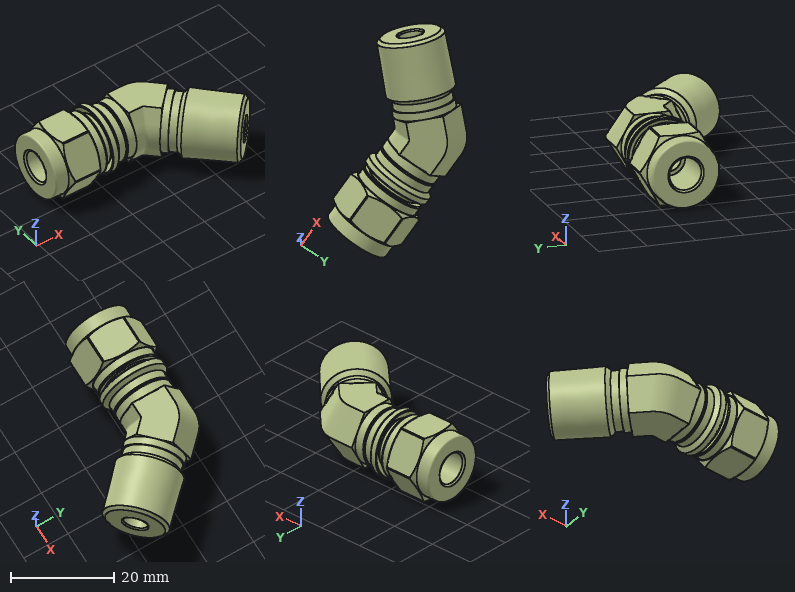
import cadquery as cq
import math

BEND_ANGLE = 45.0
BEND_X = 24.8

CAP_END = 3.05
HEX_END = 10.5
COLLAR_END = 12.5
FLANGE_START = 13.55
NECK_END = 14.1
FLANGE_END = 14.85
FLANGE_CONE_END = 15.7
GROOVE_START = 17.4
GROOVE_END = 17.8
BODY_START = 19.82

CAP_DIAMETER = 13.9
CAP_FILLET = 0.4
COLLAR_DIAMETER = 13.6
COLLAR_CHAMFER = 0.3
NECK_DIAMETER = 11.1
FLANGE_DIAMETER = 14.6
DISH_DIAMETER = 13.9
DISH_ROOT_DIAMETER = 10.1
DISH_DEPTH = 1.3
BARREL_DIAMETER = 12.6
GROOVE_DIAMETER = 12.25

NUT_FLATS = 14.27
NUT_TRIM_DIAMETER = 16.35
NUT_CHAMFER_ANGLE = 30.0

BODY_FLATS = 12.65
OUTER_BEND_FILLET = 7.35
INNER_BEND_FILLET = 0.65

BODY_END = 5.25
SHOULDER_END = BODY_END + 1.6
RELIEF_END = BODY_END + 3.25
THREAD_START = BODY_END + 4.25
THREAD_END = BODY_END + 15.2
ARM_END = BODY_END + 15.8

RELIEF_DIAMETER = 12.0
THREAD_START_DIAMETER = 13.9
THREAD_END_DIAMETER = 13.52
ARM_TIP_DIAMETER = 12.05

BORE_DIAMETER = 4.85
BORE_CHAMFER = 0.3
SOCKET_DIAMETER = 6.55
SOCKET_CHAMFER = 0.4
SOCKET_DEPTH = 9.7


def revolve_x(profile):
    """Revolve (x, radius) points about the X axis, closed along the axis."""
    points = [(profile[0][0], 0)] + profile + [(profile[-1][0], 0)]
    return cq.Workplane("XY").polyline(points).close().revolve(360, (0, 0), (1, 0))


def stepped_shaft(steps):
    """Revolve a chain of (start, end, start diameter, end diameter) steps."""
    profile = []
    for start, end, start_diameter, end_diameter in steps:
        for point in ((start, start_diameter / 2), (end, end_diameter / 2)):
            if not profile or point != profile[-1]:
                profile.append(point)
    return revolve_x(profile)


def hex_bar(flats, start, end):
    """Hexagonal bar along X with corners pointing to +Y and -Y."""
    corners = flats / math.cos(math.radians(30))
    return cq.Workplane("YZ").workplane(offset=start).polygon(6, corners).extrude(end - start)


def to_threaded_arm(shape):
    """Move a shape from the X axis onto the threaded arm, x = 0 at the bend."""
    return shape.rotate((0, 0, 0), (0, 0, 1), -BEND_ANGLE).translate((BEND_X, 0, 0))


def make_nut():
    cap = cq.Workplane("YZ").circle(CAP_DIAMETER / 2).extrude(CAP_END)
    cap = cap.faces("<X").edges().fillet(CAP_FILLET)

    trim_radius = NUT_TRIM_DIAMETER / 2
    cap_radius = CAP_DIAMETER / 2
    chamfer_length = (trim_radius - cap_radius) * math.tan(math.radians(NUT_CHAMFER_ANGLE))
    trim = revolve_x([
        (CAP_END, cap_radius),
        (CAP_END + chamfer_length, trim_radius),
        (HEX_END - chamfer_length, trim_radius),
        (HEX_END, cap_radius),
    ])
    return cap.union(hex_bar(NUT_FLATS, CAP_END, HEX_END).intersect(trim))


def make_tube_shaft():
    collar_edge = COLLAR_END - COLLAR_CHAMFER
    collar_face_diameter = COLLAR_DIAMETER - COLLAR_CHAMFER
    dish_floor = FLANGE_START + DISH_DEPTH
    return stepped_shaft([
        (HEX_END, collar_edge, COLLAR_DIAMETER, COLLAR_DIAMETER),
        (collar_edge, COLLAR_END, COLLAR_DIAMETER, collar_face_diameter),
        (COLLAR_END, NECK_END, NECK_DIAMETER, NECK_DIAMETER),
        (NECK_END, dish_floor, DISH_ROOT_DIAMETER, DISH_ROOT_DIAMETER),
        (dish_floor, FLANGE_START, DISH_ROOT_DIAMETER, DISH_DIAMETER),
        (FLANGE_START, FLANGE_END, FLANGE_DIAMETER, FLANGE_DIAMETER),
        (FLANGE_END, FLANGE_CONE_END, FLANGE_DIAMETER, BARREL_DIAMETER),
        (FLANGE_CONE_END, GROOVE_START, BARREL_DIAMETER, BARREL_DIAMETER),
        (GROOVE_START, GROOVE_END, GROOVE_DIAMETER, GROOVE_DIAMETER),
        (GROOVE_END, BODY_START, BARREL_DIAMETER, BARREL_DIAMETER),
    ])


def make_threaded_shaft():
    return to_threaded_arm(stepped_shaft([
        (BODY_END, SHOULDER_END, BARREL_DIAMETER, BARREL_DIAMETER),
        (SHOULDER_END, RELIEF_END, RELIEF_DIAMETER, RELIEF_DIAMETER),
        (RELIEF_END, THREAD_START, RELIEF_DIAMETER, THREAD_START_DIAMETER),
        (THREAD_START, THREAD_END, THREAD_START_DIAMETER, THREAD_END_DIAMETER),
        (THREAD_END, ARM_END, THREAD_END_DIAMETER, ARM_TIP_DIAMETER),
    ]))


def body_section(start, length):
    """Hexagonal bar along X with its -Y ridge rounded tangent to the flats."""
    radius = BODY_FLATS / 2
    ridge = radius / math.cos(math.radians(30))
    tangent_y = -radius * math.cos(math.radians(30))
    tangent_z = radius * math.sin(math.radians(30))
    return (
        cq.Workplane("YZ").workplane(offset=start)
        .moveTo(ridge, 0)
        .lineTo(ridge / 2, radius)
        .lineTo(-ridge / 2, radius)
        .lineTo(tangent_y, tangent_z)
        .threePointArc((-radius, 0), (tangent_y, -tangent_z))
        .lineTo(-ridge / 2, -radius)
        .lineTo(ridge / 2, -radius)
        .close().extrude(length)
    )


def mitre_block():
    """Half-space block on the -X side of the plane that bisects the bend."""
    size = 4 * BODY_FLATS
    block = cq.Workplane("XY").box(size, size, size).translate((-size / 2, 0, 0))
    return block.rotate((0, 0, 0), (0, 0, 1), -BEND_ANGLE / 2).translate((BEND_X, 0, 0))


def make_body():
    overlap = BODY_FLATS
    tube_side = body_section(BODY_START, BEND_X - BODY_START + overlap).intersect(mitre_block())
    thread_side = to_threaded_arm(body_section(-overlap, BODY_END + overlap)).cut(mitre_block())
    body = tube_side.union(thread_side).clean()

    half_angle = math.radians(BEND_ANGLE / 2)
    mitre_direction = cq.Vector(math.sin(half_angle), math.cos(half_angle), 0)
    mitre_normal = cq.Vector(math.cos(half_angle), -math.sin(half_angle), 0)
    bend_point = cq.Vector(BEND_X, 0, 0)
    tolerance = 0.0005

    def mitre_edges(side):
        """Edges in the mitre plane on the outer (+1) or inner (-1) side."""
        found = []
        for edge in body.edges().vals():
            offsets = [edge.positionAt(fraction) - bend_point for fraction in (0, 0.5, 1)]
            in_plane = all(abs(offset.dot(mitre_normal)) < tolerance for offset in offsets)
            if in_plane and side * offsets[1].dot(mitre_direction) > BODY_FLATS / 4:
                found.append(edge)
        return found

    outer_edges = mitre_edges(1)
    inner_edges = mitre_edges(-1)
    body = body.newObject(outer_edges).fillet(OUTER_BEND_FILLET)
    return body.newObject(inner_edges).fillet(INNER_BEND_FILLET)


def make_bores():
    bore_radius = BORE_DIAMETER / 2
    socket_radius = SOCKET_DIAMETER / 2
    tube_bore = revolve_x([
        (0, socket_radius + SOCKET_CHAMFER),
        (SOCKET_CHAMFER, socket_radius),
        (SOCKET_DEPTH, socket_radius),
        (SOCKET_DEPTH, bore_radius),
        (BEND_X, bore_radius),
    ])
    thread_bore = to_threaded_arm(revolve_x([
        (0, bore_radius),
        (ARM_END - BORE_CHAMFER, bore_radius),
        (ARM_END, bore_radius + BORE_CHAMFER),
    ]))
    bend_ball = cq.Workplane("XY").sphere(bore_radius).translate((BEND_X, 0, 0))
    return tube_bore.union(thread_bore).union(bend_ball)


result = (
    make_nut()
    .union(make_tube_shaft())
    .union(make_body())
    .union(make_threaded_shaft())
    .cut(make_bores())
)